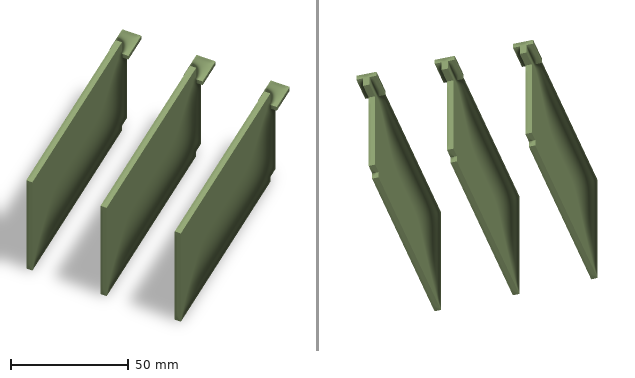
import cadquery as cq

panel_length = 103.0
panel_height = 55.5
panel_thickness = 2.9

panel_count = 3
panel_pitch = 35.0

flange_width = 9.0
flange_length = 13.0
flange_thickness = 2.3
flange_drop = 7.2
web_bottom_drop = 13.7

edge_step = 5.0
bottom_notch_height = 3.0

front_y = -panel_length / 2
tab_end_y = panel_length / 2
main_end_y = tab_end_y - flange_length
step_end_y = main_end_y + edge_step
bottom_z = -panel_height / 2
top_z = panel_height / 2
flange_top_z = top_z - flange_drop
web_bottom_z = top_z - web_bottom_drop
notch_top_z = bottom_z + bottom_notch_height


def make_plate():
    """Flat plate with its stepped +Y edge and the web under the flange."""
    outline = [
        (front_y, bottom_z),
        (main_end_y, bottom_z),
        (main_end_y, notch_top_z),
        (step_end_y, notch_top_z),
        (step_end_y, web_bottom_z),
        (tab_end_y, web_bottom_z),
        (tab_end_y, flange_top_z),
        (main_end_y, flange_top_z),
        (main_end_y, top_z),
        (front_y, top_z),
    ]
    return cq.Workplane("YZ").polyline(outline).close().extrude(panel_thickness / 2, both=True)


def make_flange():
    """Flat flange across the top of the web."""
    flange = cq.Workplane("XY").box(flange_width, flange_length, flange_thickness)
    center_y = tab_end_y - flange_length / 2
    center_z = flange_top_z - flange_thickness / 2
    return flange.translate((0, center_y, center_z))


def make_panel(center_x):
    """One complete panel, placed at its position in the row."""
    return make_plate().union(make_flange()).translate((center_x, 0, 0))


first_panel_x = -panel_pitch * (panel_count - 1) / 2
panels = [make_panel(first_panel_x + index * panel_pitch) for index in range(panel_count)]

result = cq.Compound.makeCompound([panel.val() for panel in panels])